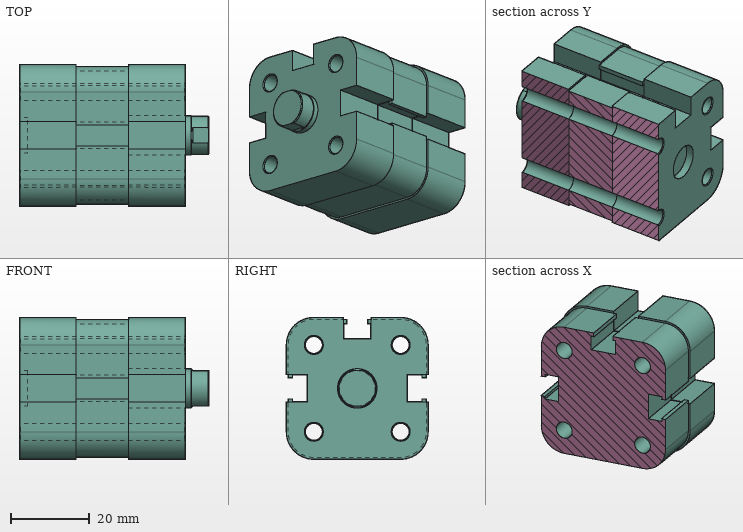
import cadquery as cq


total_length = 48.0
rod_projection = 6.0
cap_length = 14.35
barrel_length = total_length - rod_projection - 2 * cap_length
rear_face_x = -total_length / 2
barrel_x = rear_face_x + cap_length
front_cap_x = barrel_x + barrel_length
front_face_x = front_cap_x + cap_length
rod_tip_x = front_face_x + rod_projection

cap_size = 36.0
cap_corner_radius = 7.0
barrel_inset = 0.5
barrel_size = cap_size - 2 * barrel_inset
barrel_corner_radius = cap_corner_radius - barrel_inset
hole_offset = cap_size / 2 - cap_corner_radius
hole_diameter = 4.3
hole_mouth_diameter = 4.8
hole_mouth_depth = (hole_mouth_diameter - hole_diameter) / 2

slot_angles = (0, 90, -90)
cap_slot_width = 7.0
cap_slot_floor = 12.55
barrel_slot_clearance = 0.15
barrel_slot_width = cap_slot_width - 2 * barrel_slot_clearance
barrel_slot_floor = cap_slot_floor + barrel_slot_clearance
lip_thickness = 1.15
lip_opening = 5.3

recess_diameter = 9.0
recess_depth = 2.0

rod_diameter = 10.0
tip_diameter = 9.8
tip_length = 4.5
tip_chamfer = 0.25
flat_distance = 9.0
flat_length = 4.1
flat_runout = 0.5


def square_block(size, corner_radius, start_x, length):
    """Square bar along X with rounded corners."""
    return (
        cq.Workplane("YZ", origin=(start_x, 0, 0))
        .rect(size, size)
        .extrude(length)
        .edges("|X")
        .fillet(corner_radius)
    )


def slot_cutter(width, bottom, top, start_x, length):
    """Box that opens a sensor slot on each of the three slotted sides."""
    box = cq.Workplane("XY", origin=(start_x, 0, bottom)).box(
        length, width, top - bottom, centered=(False, True, False)
    )
    cutters = cq.Workplane("XY")
    for angle in slot_angles:
        cutters = cutters.add(box.rotate((0, 0, 0), (1, 0, 0), angle))
    return cutters.combine()


def tie_rod_holes(start_x, length):
    """Four plain holes along X."""
    return (
        cq.Workplane("YZ", origin=(start_x, 0, 0))
        .rect(2 * hole_offset, 2 * hole_offset, forConstruction=True)
        .vertices()
        .circle(hole_diameter / 2)
        .extrude(length)
    )


def hole_mouths(outer_x, inward):
    """Four countersinks at an outer end face; inward is the X sense into the material."""
    mouths = cq.Workplane("XY")
    for y in (-hole_offset, hole_offset):
        for z in (-hole_offset, hole_offset):
            cone = cq.Solid.makeCone(
                hole_mouth_diameter / 2,
                hole_diameter / 2,
                hole_mouth_depth,
                pnt=cq.Vector(outer_x, y, z),
                dir=cq.Vector(inward, 0, 0),
            )
            mouths = mouths.add(cone)
    return mouths.combine()


def make_cap(start_x):
    """Slotted end cap with four tie-rod holes."""
    block = square_block(cap_size, cap_corner_radius, start_x, cap_length)
    slots = slot_cutter(cap_slot_width, cap_slot_floor, cap_size / 2, start_x, cap_length)
    return block.cut(slots).cut(tie_rod_holes(start_x, cap_length))


def make_rear_cap():
    recess = (
        cq.Workplane("YZ", origin=(rear_face_x, 0, 0))
        .circle(recess_diameter / 2)
        .extrude(recess_depth)
    )
    return make_cap(rear_face_x).cut(hole_mouths(rear_face_x, 1)).cut(recess)


def make_front_cap():
    rod_bore = (
        cq.Workplane("YZ", origin=(front_cap_x, 0, 0))
        .circle(rod_diameter / 2)
        .extrude(cap_length)
    )
    return make_cap(front_cap_x).cut(hole_mouths(front_face_x, -1)).cut(rod_bore)


def make_barrel():
    """Slightly smaller middle section whose slots narrow to lips at the outside."""
    lip_bottom = barrel_size / 2 - lip_thickness
    wide_slots = slot_cutter(barrel_slot_width, barrel_slot_floor, lip_bottom, barrel_x, barrel_length)
    lip_gaps = slot_cutter(lip_opening, lip_bottom, barrel_size / 2, barrel_x, barrel_length)
    return (
        square_block(barrel_size, barrel_corner_radius, barrel_x, barrel_length)
        .cut(wide_slots)
        .cut(lip_gaps)
        .cut(tie_rod_holes(barrel_x, barrel_length))
    )


def make_rod():
    """Rod seated on the barrel, passing through the front cap."""
    rod_radius = rod_diameter / 2
    tip_radius = tip_diameter / 2
    tip_start_x = rod_tip_x - tip_length
    shoulder_end_x = tip_start_x + (rod_radius - tip_radius)
    rod = (
        cq.Workplane("XZ")
        .moveTo(front_cap_x, 0)
        .lineTo(front_cap_x, rod_radius)
        .lineTo(tip_start_x, rod_radius)
        .lineTo(shoulder_end_x, tip_radius)
        .lineTo(rod_tip_x - tip_chamfer, tip_radius)
        .lineTo(rod_tip_x, tip_radius - tip_chamfer)
        .lineTo(rod_tip_x, 0)
        .close()
        .revolve(360, (0, 0, 0), (1, 0, 0))
    )
    flat_start_x = rod_tip_x - flat_length
    flat_z = flat_distance / 2
    upper_flat = (
        cq.Workplane("XZ")
        .moveTo(rod_tip_x, flat_z)
        .lineTo(flat_start_x, flat_z)
        .lineTo(flat_start_x - flat_runout, flat_z + flat_runout)
        .lineTo(rod_tip_x, flat_z + flat_runout)
        .close()
        .extrude(rod_radius, both=True)
    )
    return rod.cut(upper_flat).cut(upper_flat.mirror("XY"))


rear_cap = make_rear_cap()
barrel = make_barrel()
front_cap = make_front_cap()
rod = make_rod()

result = cq.Compound.makeCompound([rear_cap.val(), barrel.val(), front_cap.val(), rod.val()])